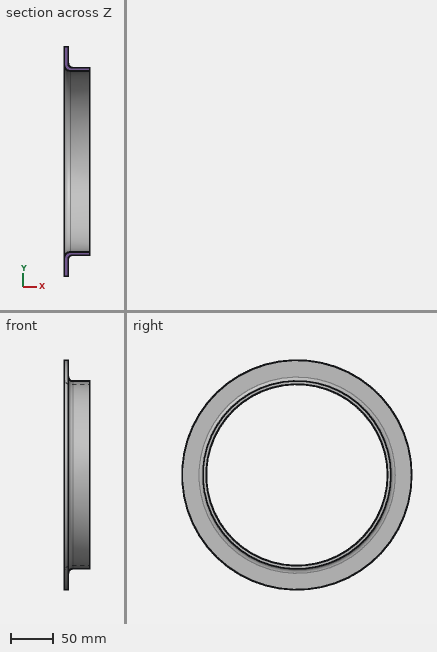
import cadquery as cq

flange_diameter = 268.0
collar_diameter = 219.2
bore_diameter = 211.2
total_length = 30.0
flange_thickness = 5.0
root_radius = 4.8
mouth_radius = 7.0

flange_radius = flange_diameter / 2
collar_radius = collar_diameter / 2
bore_radius = bore_diameter / 2

section = (
    cq.Workplane("XY")
    .moveTo(0, bore_radius + mouth_radius)
    .lineTo(0, flange_radius)
    .lineTo(flange_thickness, flange_radius)
    .lineTo(flange_thickness, collar_radius + root_radius)
    .radiusArc((flange_thickness + root_radius, collar_radius), -root_radius)
    .lineTo(total_length, collar_radius)
    .lineTo(total_length, bore_radius)
    .lineTo(mouth_radius, bore_radius)
    .radiusArc((0, bore_radius + mouth_radius), mouth_radius)
    .close()
)

result = section.revolve(360, (0, 0, 0), (1, 0, 0))